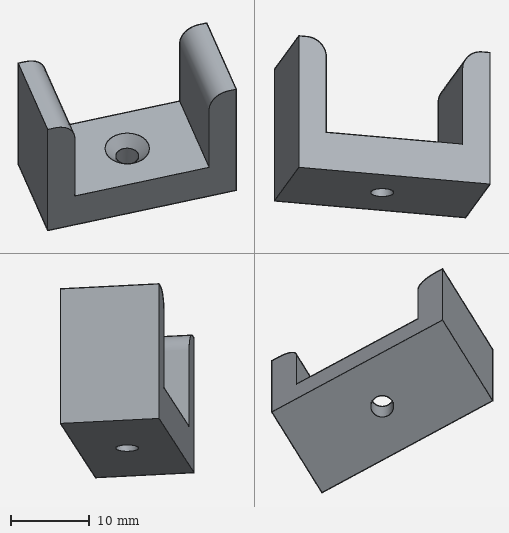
import cadquery as cq

width = 12.7
length = 25.0
height = 17.77

floor_thickness = 5.07
wall_thickness = 3.6
wall_rounding = 2.55

hole_diameter = 2.9
countersink_diameter = 5.6
countersink_angle = 90

channel_half_width = length / 2 - wall_thickness

selection_margin = 0.25


def make_bracket():
    """Block with a channel along X, its upper inner edges rounded."""
    block = cq.Workplane("XY").box(width, length, height, centered=(True, True, False))
    channel = (
        cq.Workplane("XY")
        .workplane(offset=floor_thickness)
        .box(width, 2 * channel_half_width, height, centered=(True, True, False))
    )
    inner_top_edges = cq.selectors.BoxSelector(
        (-width, -channel_half_width - selection_margin, height - selection_margin),
        (width, channel_half_width + selection_margin, height + selection_margin),
    )
    return block.cut(channel).edges("|X").edges(inner_top_edges).fillet(wall_rounding)


def add_screw_hole(bracket):
    """Drill the screw hole from the floor of the channel."""
    return (
        bracket.copyWorkplane(cq.Workplane("XY", origin=(0, 0, floor_thickness)))
        .cskHole(hole_diameter, countersink_diameter, countersink_angle)
    )


result = add_screw_hole(make_bracket())